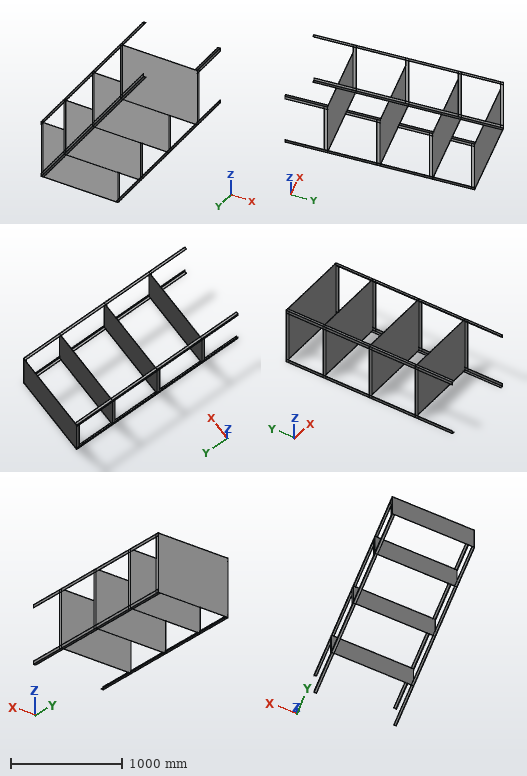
import cadquery as cq

RACK_WIDTH = 803.0
RACK_LENGTH = 1801.0
RACK_DEPTH = 603.0
LEG_SHEET = 2.0
SHELF_SHEET = 1.0
LEG_ROUNDING = 4.0
LEG_FLANGE_X = 25.0
LEG_FLANGE_Z = 32.0
SHELF_FLANGE = 30.0
FIRST_SHELF_DROP = 400.0
SHELF_COUNT = 4
SHELF_PITCH = 499.0

SHELF_WIDTH = RACK_WIDTH - 2 * LEG_SHEET
SHELF_DEPTH = RACK_DEPTH - 2 * LEG_SHEET

TOP_Y = RACK_LENGTH / 2
SHELF_DROPS = [0.0] + [FIRST_SHELF_DROP + i * SHELF_PITCH for i in range(SHELF_COUNT - 1)]


def make_leg(side_x, side_z):
    """Angle-section leg along Y, its corner on the outer edge given by the two signs."""
    corner_x = RACK_WIDTH / 2
    corner_z = RACK_DEPTH / 2
    outline = [
        (corner_x, corner_z),
        (corner_x - LEG_FLANGE_X, corner_z),
        (corner_x - LEG_FLANGE_X, corner_z - LEG_SHEET),
        (corner_x - LEG_SHEET, corner_z - LEG_SHEET),
        (corner_x - LEG_SHEET, corner_z - LEG_FLANGE_Z),
        (corner_x, corner_z - LEG_FLANGE_Z),
    ]
    placed_outline = [(side_x * x, side_z * z) for x, z in outline]
    leg = (
        cq.Workplane("XZ", origin=(0, TOP_Y, 0))
        .polyline(placed_outline)
        .close()
        .extrude(RACK_LENGTH)
    )
    outer_corner = cq.selectors.NearestToPointSelector((side_x * corner_x, 0, side_z * corner_z))
    return leg.edges(outer_corner).fillet(LEG_ROUNDING)


def make_shelf(face_y):
    """Shelf plate with its two X sides folded toward -Y; face_y is its +Y face."""
    folded_sheet = cq.Workplane("XY", origin=(0, face_y - SHELF_FLANGE / 2, 0)).box(
        SHELF_WIDTH, SHELF_FLANGE, SHELF_DEPTH
    )
    hollow = cq.Workplane("XY", origin=(0, face_y - SHELF_SHEET - SHELF_FLANGE / 2, 0)).box(
        SHELF_WIDTH - 2 * SHELF_SHEET, SHELF_FLANGE, SHELF_DEPTH
    )
    return folded_sheet.cut(hollow)


legs = [make_leg(side_x, side_z) for side_x in (-1, 1) for side_z in (-1, 1)]
shelves = [make_shelf(TOP_Y - drop) for drop in SHELF_DROPS]

result = cq.Compound.makeCompound([body.val() for body in legs + shelves])